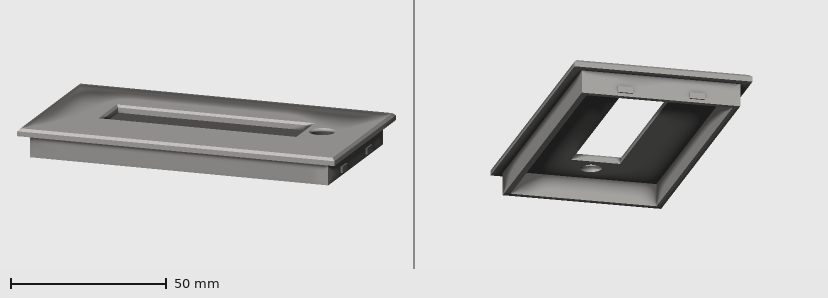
import cadquery as cq

plate_length = 108
plate_width = 59.0
plate_thickness = 2.5
total_height = 10.0
edge_chamfer = 0.9

skirt_inset = 3.2
skirt_wall = 2.0
skirt_length = plate_length - 2 * skirt_inset
skirt_width = plate_width - 2 * skirt_inset
skirt_height = total_height - plate_thickness

window_length = 65.9
window_width = 16.1
hole_diameter = 7.0
hole_x = 39.4
opening_chamfer = 0.8

tab_projection = 0.6
tab_width = 5.0
tab_height = 2.0
tab_bottom = 1.1
tab_offset_y = 12.0


def make_plate():
    """Plate with its top edge and both openings chamfered."""
    plate = (
        cq.Workplane("XY")
        .workplane(offset=skirt_height)
        .rect(plate_length, plate_width)
        .extrude(plate_thickness)
        .faces(">Z")
        .chamfer(edge_chamfer)
    )
    openings = (
        cq.Workplane("XY")
        .workplane(offset=skirt_height)
        .rect(window_length, window_width)
        .moveTo(hole_x, 0)
        .circle(hole_diameter / 2)
        .extrude(plate_thickness)
    )
    inner_region = cq.selectors.BoxSelector(
        (-skirt_length / 2, -skirt_width / 2, skirt_height),
        (skirt_length / 2, skirt_width / 2, 2 * total_height),
    )
    return plate.cut(openings).faces(">Z").edges(inner_region).chamfer(opening_chamfer)


def make_skirt():
    """Rectangular wall that runs from the bottom up to the plate."""
    return (
        cq.Workplane("XY")
        .rect(skirt_length, skirt_width)
        .rect(skirt_length - 2 * skirt_wall, skirt_width - 2 * skirt_wall)
        .extrude(skirt_height)
    )


def make_tabs():
    """Two tabs on each end, rooted halfway into the skirt wall."""
    root_depth = skirt_wall / 2
    tab_length = tab_projection + root_depth
    tab_x = skirt_length / 2 + tab_projection - tab_length / 2
    centers = [(sx * tab_x, sy * tab_offset_y) for sx in (-1, 1) for sy in (-1, 1)]
    return (
        cq.Workplane("XY")
        .workplane(offset=tab_bottom)
        .pushPoints(centers)
        .rect(tab_length, tab_width)
        .extrude(tab_height)
    )


result = make_plate().union(make_skirt()).union(make_tabs())